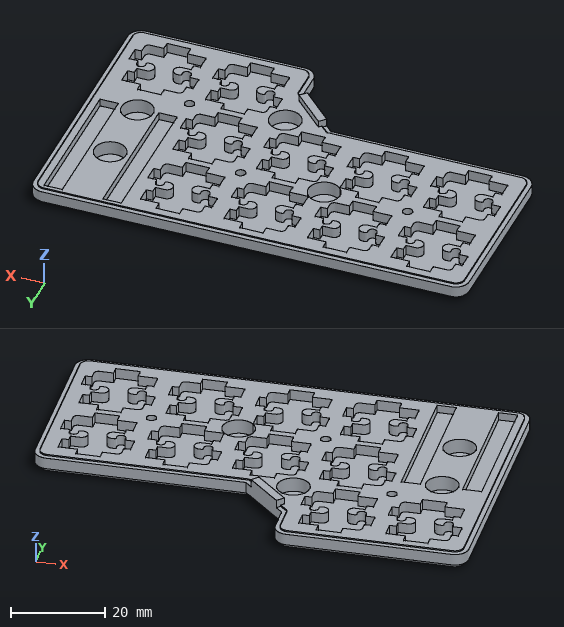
import cadquery as cq
import math

LENGTH = 99.4
WIDTH = 61.4
TOTAL_HEIGHT = 5.6
WING_EDGE_Y = 19.1
FOOT_EDGE_X = 57.1
DIAGONAL_LEG = 10.2
DIAGONAL_ANGLE = 45
CORNER_RADIUS = 3.1

RIM_HEIGHT = 3.8
PLATE_HEIGHT = 4.1
RIM_STEP = 1.1
BOTTOM_CHAMFER = 1.2
OVERLAP_BASE = RIM_HEIGHT / 2

TAB_LENGTH = 10.2
TAB_THICKNESS = 2.0

COLUMNS = 5
SIDE_MARGIN = 11.6
BACK_MARGIN = 11.7
PITCH = (LENGTH - 2 * SIDE_MARGIN) / (COLUMNS - 1)
POCKET_CELLS = [(col, row) for row in (0, 1) for col in range(COLUMNS - 1)] + [(3, 2), (4, 2)]
POCKET_DEPTH = 2.4

END_HALF_WIDTH = 2.7
END_Y = 8.7
SHOULDER_Y = 6.9
ROUNDED_SHOULDER_X = 6.8
ROUNDED_SHOULDER_RADIUS = 1.0
SIDE_X = 8.25
SIDE_Y = 4.3
PLAIN_SHOULDER_X = 7.0
PLAIN_SHOULDER_Y = 3.4
STEP_X = 5.5
TONGUE_TOP = 1.9
TONGUE_BOTTOM = -0.8
TONGUE_END_X = 2.0
SCALLOP_X = 5.2
SCALLOP_RADIUS = 1.0
SCALLOP_FILLET = 0.4

SCREW_DIAMETER = 2.2
SCREW_CELLS = [(0.5, 0.5), (2.5, 0.5), (3.5, 1.5)]
MAGNET_DIAMETER = 7.2
MAGNET_DEPTH = 3.3
DIAGONAL_MAGNET = (57.2, 19.3)

BAY_X = 87.8
BAY_MAGNET_YS = (27.2, 43.2)
SLOT_SPACING = 13.4
SLOT_WIDTH = 4.2
SLOT_LENGTH = 32.9
SLOT_TOP_GAP = 2.0
SLOT_DEPTH = 1.8


def cell(col, row):
    """Centre of a grid cell; fractions lie between cells."""
    return (SIDE_MARGIN + col * PITCH, WIDTH - BACK_MARGIN - row * PITCH)


def plate_layer(base, top, inset):
    """Slab with the plate outline moved inward by inset."""
    end_shift = inset * math.tan(math.radians(DIAGONAL_ANGLE / 2))
    left = inset
    bottom = inset
    right = LENGTH - inset
    back = WIDTH - inset
    wing_y = WING_EDGE_Y + inset
    foot_x = FOOT_EDGE_X + inset
    diagonal_start = (FOOT_EDGE_X - DIAGONAL_LEG + end_shift, wing_y)
    diagonal_end = (foot_x, WING_EDGE_Y - DIAGONAL_LEG + end_shift)
    outline = [
        (left, wing_y), diagonal_start, diagonal_end, (foot_x, bottom),
        (right, bottom), (right, back), (left, back),
    ]
    slab = cq.Workplane("XY").workplane(offset=base).polyline(outline).close().extrude(top - base)
    right_angle_corners = [outline[0]] + outline[3:]
    for x, y in right_angle_corners:
        corner_edge = cq.selectors.NearestToPointSelector((x, y, (base + top) / 2))
        slab = slab.edges("|Z").edges(corner_edge).fillet(CORNER_RADIUS - inset)
    return slab


def plate():
    rim = plate_layer(0, RIM_HEIGHT, 0).faces("<Z").edges().chamfer(BOTTOM_CHAMFER)
    return rim.union(plate_layer(OVERLAP_BASE, PLATE_HEIGHT, RIM_STEP))


def tab():
    """Block flush with the middle of the 45 degree edge."""
    height = TOTAL_HEIGHT - OVERLAP_BASE
    block = cq.Workplane("XY").box(TAB_LENGTH, TAB_THICKNESS, height, centered=(True, False, False))
    edge_middle = (FOOT_EDGE_X - DIAGONAL_LEG / 2, WING_EDGE_Y - DIAGONAL_LEG / 2, OVERLAP_BASE)
    return block.rotate((0, 0, 0), (0, 0, 1), -DIAGONAL_ANGLE).translate(edge_middle)


def pocket_half(sketch, turn):
    """Right half of the pocket outline (turn = 1), or its half-turn copy (turn = -1)."""
    def at(x, y):
        return (turn * x, turn * y)

    for x, y in [
        (END_HALF_WIDTH, END_Y), (END_HALF_WIDTH, SHOULDER_Y),
        (PLAIN_SHOULDER_X, SHOULDER_Y), (PLAIN_SHOULDER_X, PLAIN_SHOULDER_Y),
        (STEP_X, PLAIN_SHOULDER_Y), (STEP_X, TONGUE_TOP),
    ]:
        sketch = sketch.lineTo(*at(x, y))

    tongue_radius = (TONGUE_TOP - TONGUE_BOTTOM) / 2
    tongue_x = TONGUE_END_X + tongue_radius
    sketch = sketch.lineTo(*at(tongue_x, TONGUE_TOP))
    sketch = sketch.threePointArc(
        at(TONGUE_END_X, TONGUE_TOP - tongue_radius), at(tongue_x, TONGUE_BOTTOM))

    fillet_y = TONGUE_BOTTOM + SCALLOP_FILLET
    reach = SCALLOP_RADIUS + SCALLOP_FILLET
    fillet_dx = math.sqrt(reach ** 2 - fillet_y ** 2)
    join_dx = fillet_dx * SCALLOP_RADIUS / reach
    join_y = fillet_y * SCALLOP_RADIUS / reach
    sketch = sketch.lineTo(*at(SCALLOP_X - fillet_dx, TONGUE_BOTTOM))
    sketch = sketch.tangentArcPoint(at(SCALLOP_X - join_dx, join_y), relative=False)
    sketch = sketch.threePointArc(at(SCALLOP_X, SCALLOP_RADIUS), at(SCALLOP_X + join_dx, join_y))
    sketch = sketch.tangentArcPoint(at(SCALLOP_X + fillet_dx, TONGUE_BOTTOM), relative=False)

    for x, y in [
        (SIDE_X, TONGUE_BOTTOM), (SIDE_X, -SIDE_Y), (ROUNDED_SHOULDER_X, -SIDE_Y),
        (ROUNDED_SHOULDER_X, ROUNDED_SHOULDER_RADIUS - SHOULDER_Y),
    ]:
        sketch = sketch.lineTo(*at(x, y))
    sketch = sketch.tangentArcPoint(
        at(ROUNDED_SHOULDER_X - ROUNDED_SHOULDER_RADIUS, -SHOULDER_Y), relative=False)
    return sketch.lineTo(*at(END_HALF_WIDTH, -SHOULDER_Y)).lineTo(*at(END_HALF_WIDTH, -END_Y))


def switch_pocket():
    sketch = cq.Workplane("XY").moveTo(-END_HALF_WIDTH, END_Y)
    sketch = pocket_half(sketch, 1)
    sketch = pocket_half(sketch, -1)
    return sketch.close().extrude(POCKET_DEPTH).translate((0, 0, PLATE_HEIGHT - POCKET_DEPTH))


def round_holes(centres, diameter, depth):
    top = cq.Workplane("XY").workplane(offset=PLATE_HEIGHT)
    return top.pushPoints(centres).circle(diameter / 2).extrude(-depth)


def slots():
    slot_y = WIDTH - SLOT_TOP_GAP - SLOT_LENGTH / 2
    centres = [(BAY_X + side * SLOT_SPACING / 2, slot_y) for side in (-1, 1)]
    top = cq.Workplane("XY").workplane(offset=PLATE_HEIGHT)
    return top.pushPoints(centres).rect(SLOT_WIDTH, SLOT_LENGTH).extrude(-SLOT_DEPTH)


result = plate().union(tab())

pocket = switch_pocket()
for col, row in POCKET_CELLS:
    x, y = cell(col, row)
    result = result.cut(pocket.translate((x, y, 0)))

screw_centres = [cell(col, row) for col, row in SCREW_CELLS]
result = result.cut(round_holes(screw_centres, SCREW_DIAMETER, PLATE_HEIGHT))

magnet_centres = [cell(1.5, 0.5), DIAGONAL_MAGNET]
magnet_centres += [(BAY_X, y) for y in BAY_MAGNET_YS]
result = result.cut(round_holes(magnet_centres, MAGNET_DIAMETER, MAGNET_DEPTH))

result = result.cut(slots())